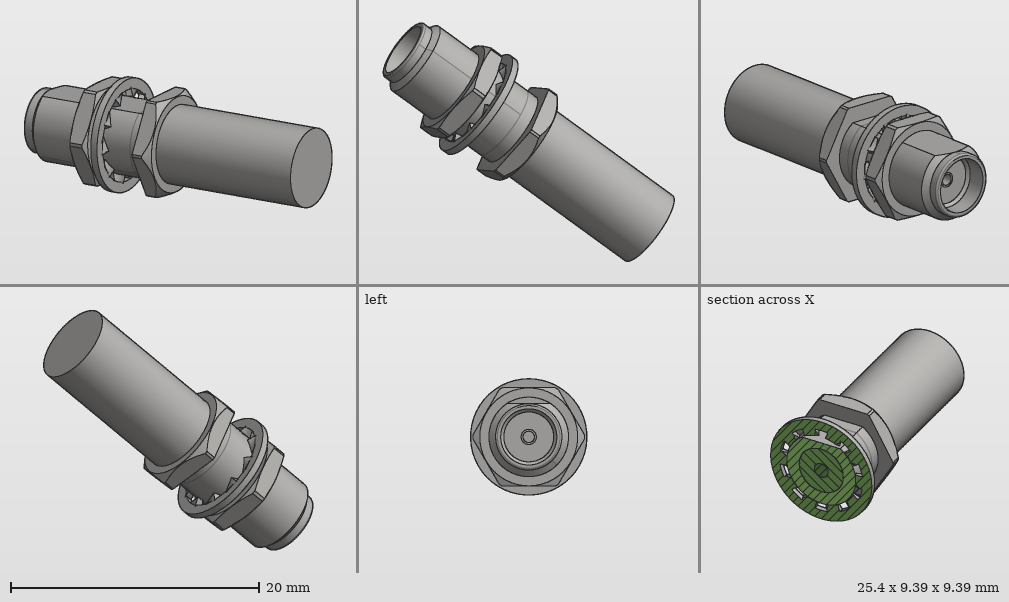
import cadquery as cq
import math

total_length = 25.45

barrel_radius = 2.67
barrel_length = 0.81
lip_fillet = 0.15
lead_cone_length = 0.43
thread_radius = 3.2
thread_root_radius = 2.72
thread_pitch = 0.705
thread_root_flat = 0.09
thread_overshoot = 0.013
thread_crest_phase = 0.22
thread_end = 10.33
thread_flat_height = 2.67
flange_start = 11.35
flange_length = 1.45
flange_half_width = 4.02
flange_corner_radius = 4.58
flange_chamfer_length = 0.55
flange_face_radius = 3.97

socket_radius = 2.27
socket_depth = 1.58
socket_cone_length = 0.25

dielectric_radius = 2.0
contact_radius = 0.6
contact_bore_radius = 0.45
contact_bore_depth = 2.04

nut_start = 5.25
nut_length = 1.55
nut_half_width = 3.97
nut_corner_radius = 4.5
nut_face_radius = 3.95
nut_chamfer_length = 0.2

washer_start = 7.53
washer_thickness = 0.59
washer_outer_radius = 4.695
washer_inner_radius = 3.82
washer_tooth_count = 10
washer_tooth_width = 1.27
washer_tooth_thickness = 0.55
washer_tooth_twist = 32.0
washer_tooth_embed = 0.13
washer_tooth_trim = 0.25
washer_bore_radius = thread_radius

sleeve_radius = 3.25

flange_end = flange_start + flange_length
dielectric_start = socket_depth + socket_cone_length
nut_end = nut_start + nut_length
washer_end = washer_start + washer_thickness
flank_slope = math.tan(math.radians(30))

blank_seam_angle = 225.0


def revolve_profile(points):
    """Solid of revolution about X from (x, radius) points."""
    return cq.Workplane("XY").polyline(points).close().revolve(360, (0, 0, 0), (1, 0, 0))


def cylinder(start, end, radius):
    """Cylinder along X with its seam on the +Z side."""
    base = cq.Plane(origin=(start, 0, 0), xDir=(0, 0, 1), normal=(1, 0, 0))
    return cq.Workplane(base).circle(radius).extrude(end - start)


def hexagon(start, length, half_width):
    """Hexagonal prism along X with flats at the top and bottom."""
    corner_diameter = 2 * half_width / math.cos(math.radians(30))
    return cq.Workplane("YZ", origin=(start, 0, 0)).polygon(6, corner_diameter).extrude(length)


def thread_groove(first, last):
    """Right-handed helical V groove that covers at least the stretch from first to last."""
    outer_radius = thread_radius + thread_overshoot
    root_half = thread_root_flat / 2
    mouth_half = root_half + (outer_radius - thread_root_radius) * flank_slope
    first_turn = math.floor((first - thread_crest_phase) / thread_pitch) - 1
    last_turn = math.ceil((last - thread_crest_phase) / thread_pitch) + 1
    height = (last_turn - first_turn) * thread_pitch
    corners = [
        (thread_root_radius, -root_half),
        (outer_radius, -mouth_half),
        (outer_radius, mouth_half),
        (thread_root_radius, root_half),
    ]
    helices = [
        cq.Wire.makeHelix(thread_pitch, height, radius, center=cq.Vector(0, 0, offset))
        for radius, offset in corners
    ]
    faces = [cq.Face.makeRuledSurface(helices[i - 1], helices[i]) for i in range(len(helices))]
    for end in (0, 1):
        tips = [helix.positionAt(end) for helix in helices]
        faces.append(cq.Face.makeFromWires(cq.Wire.makePolygon(tips, close=True)))
    groove = cq.Workplane(cq.Solid.makeSolid(cq.Shell.makeShell(faces)))
    start = thread_crest_phase + (first_turn + 0.5) * thread_pitch
    turned = groove.rotate((0, 0, 0), (0, 0, 1), -90).rotate((0, 0, 0), (0, 1, 0), 90)
    return turned.translate((start, 0, 0))


def make_flange():
    envelope = revolve_profile(
        [
            (flange_start, 0),
            (flange_start, flange_corner_radius),
            (flange_end - flange_chamfer_length, flange_corner_radius),
            (flange_end, flange_face_radius),
            (flange_end, 0),
        ]
    )
    return hexagon(flange_start, flange_length, flange_half_width).intersect(envelope)


def make_socket():
    """Mating bore with a cone that leads to the through bore for the dielectric."""
    return revolve_profile(
        [
            (0, 0),
            (0, socket_radius),
            (socket_depth, socket_radius),
            (dielectric_start, dielectric_radius),
            (flange_end, dielectric_radius),
            (flange_end, 0),
        ]
    )


def make_body():
    cone_end = barrel_length + lead_cone_length
    front = revolve_profile(
        [
            (0, 0),
            (0, barrel_radius),
            (barrel_length, barrel_radius),
            (cone_end, thread_radius),
            (thread_end, thread_radius),
            (thread_end, 0),
        ]
    ).rotate((0, 0, 0), (1, 0, 0), blank_seam_angle)
    threaded = front.cut(thread_groove(barrel_length, thread_end), clean=False)
    threaded = threaded.faces("<X").edges().fillet(lip_fillet)
    shank = cylinder(thread_end, flange_start, thread_radius)
    above_flat = (
        cq.Workplane("XY", origin=(0, 0, thread_flat_height))
        .rect(2 * flange_start, 2 * thread_radius)
        .extrude(thread_radius)
    )
    body = threaded.cut(above_flat, clean=False).union(shank.cut(above_flat), clean=False)
    return body.union(make_flange(), clean=False).cut(make_socket(), clean=False)


def make_dielectric():
    bore = cylinder(dielectric_start, flange_end, contact_radius)
    return cylinder(dielectric_start, flange_end, dielectric_radius).cut(bore)


def make_contact():
    bore = cylinder(dielectric_start, dielectric_start + contact_bore_depth, contact_bore_radius)
    return cylinder(dielectric_start, flange_end, contact_radius).cut(bore)


def make_nut():
    """Hexagonal nut with both faces chamfered and a plain bore over the thread crests."""
    envelope = revolve_profile(
        [
            (nut_start, 0),
            (nut_start, nut_face_radius),
            (nut_start + nut_chamfer_length, nut_corner_radius),
            (nut_end - nut_chamfer_length, nut_corner_radius),
            (nut_end, nut_face_radius),
            (nut_end, 0),
        ]
    )
    blank = hexagon(nut_start, nut_length, nut_half_width).intersect(envelope)
    return blank.cut(cylinder(nut_start, nut_end, thread_radius))


def make_washer_tooth():
    """Tooth at the top that points down from the ring, twisted about its own radial line."""
    root_radius = washer_inner_radius + washer_tooth_embed
    tip_radius = washer_bore_radius - washer_tooth_trim
    middle = washer_start + washer_thickness / 2
    return (
        cq.Workplane("XY", origin=(middle, 0, root_radius))
        .rect(washer_tooth_thickness, washer_tooth_width)
        .workplane(offset=tip_radius - root_radius)
        .transformed(rotate=(0, 0, washer_tooth_twist))
        .rect(washer_tooth_thickness, washer_tooth_width)
        .loft(ruled=True)
    )


def make_washer():
    washer = cylinder(washer_start, washer_end, washer_outer_radius)
    washer = washer.cut(cylinder(washer_start, washer_end, washer_inner_radius))
    tooth = make_washer_tooth()
    for index in range(washer_tooth_count):
        angle = (index + 0.5) * 360 / washer_tooth_count
        washer = washer.union(tooth.rotate((0, 0, 0), (1, 0, 0), angle))
    bore_start = washer_start - washer_thickness
    bore_end = washer_end + washer_thickness
    return washer.cut(cylinder(bore_start, bore_end, washer_bore_radius))


def make_sleeve():
    return cylinder(flange_end, total_length, sleeve_radius)


body = make_body()
dielectric = make_dielectric()
contact = make_contact()
nut = make_nut()
washer = make_washer()
sleeve = make_sleeve()

result = cq.Compound.makeCompound(
    [
        body.solids().val(),
        dielectric.solids().val(),
        contact.solids().val(),
        nut.solids().val(),
        washer.solids().val(),
        sleeve.solids().val(),
    ]
)